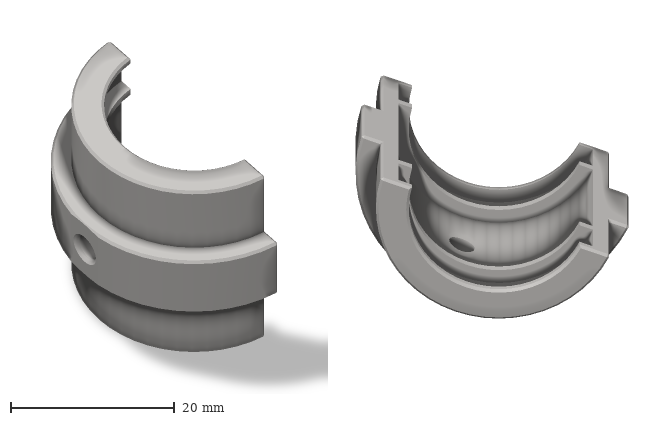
import cadquery as cq

length = 28.5
body_radius = 15.0
flange_diameter = 35.0
flange_width = 9.0
flat_distance = 17.3
bore_radius = 11.0
groove_radius = 12.75
land_width = 1.0
groove_width = 4.5
split_offset = 1.0
chamfer = 0.3
hole_diameter = 3.3
hole_mouth_diameter = 4.33

flange_radius = flange_diameter / 2
half_length = length / 2
lip_inner_z = half_length - land_width
rib_outer_z = lip_inner_z - groove_width
rib_inner_z = rib_outer_z - land_width


def revolve_about(profile, axis_end):
    """Close the profile and turn it about the line from the origin to axis_end."""
    return profile.close().revolve(360, (0, 0, 0), axis_end)


def half_disc(radius, height):
    """Segment of a cylinder on the -Y side of the split face, with every edge chamfered."""
    cylinder = cq.Workplane("XY").circle(radius).extrude(height / 2, both=True)
    keep = cq.Workplane("XY").box(2 * radius, radius, height).translate(
        (0, -split_offset - radius / 2, 0)
    )
    return cylinder.intersect(keep).edges().chamfer(chamfer)


def make_flange_flat():
    """Block that trims the front of the flange to a narrow flat."""
    return cq.Workplane("XY").box(flange_radius, flange_radius, flange_width).translate(
        (0, -flat_distance - flange_radius / 2, 0)
    )


def make_bore():
    """Bore with chamfered rims, two narrow grooves near the ends and a wide middle groove."""
    upper_steps = [
        (groove_radius, rib_inner_z),
        (bore_radius, rib_inner_z),
        (bore_radius, rib_outer_z),
        (groove_radius, rib_outer_z),
        (groove_radius, lip_inner_z),
        (bore_radius, lip_inner_z),
        (bore_radius, half_length - chamfer),
        (bore_radius + chamfer, half_length),
        (0, half_length),
    ]
    lower_steps = [(radius, -z) for radius, z in reversed(upper_steps)]
    profile = cq.Workplane("XZ").polyline(lower_steps + upper_steps)
    return revolve_about(profile, (0, 1, 0))


def make_hole():
    """Radial hole along Y with a 45 degree countersink at the flange flat."""
    radius = hole_diameter / 2
    mouth_radius = hole_mouth_diameter / 2
    sink_depth = mouth_radius - radius
    profile = cq.Workplane("XY").polyline([
        (0, 0),
        (radius, 0),
        (radius, -flat_distance + sink_depth),
        (mouth_radius, -flat_distance),
        (0, -flat_distance),
    ])
    return revolve_about(profile, (0, 1, 0))


body = half_disc(body_radius, length)
flange = half_disc(flange_radius, flange_width).cut(make_flange_flat())
half_sleeve = body.union(flange).cut(make_bore()).cut(make_hole())

result = half_sleeve.translate((0, split_offset, 0))